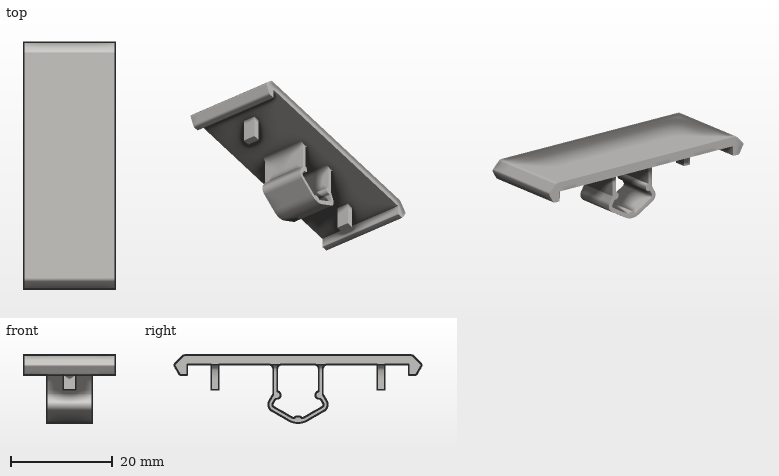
import cadquery as cq
import math


length = 48.5
width = 18.0
total_height = 13.38
plate_thickness = 1.9
hook_depth = 3.95
hook_inner_y = 21.7
hook_top_y = 22.47
hook_tip_radius = 0.5
hook_top_radius = 0.9
hook_foot_radius = 0.6
hook_lip_radius = 0.2
bevel_angle = math.radians(45)
flank_angle = math.radians(60)

pin_width = 2.5
pin_thickness = 1.5
pin_y = 16.3
pin_end_z = -6.85

clip_width = 9.0
wall = 0.85
leg_outer_y = 4.9
knee_z = -7.75
upper_slope = math.radians(60)
lower_slope = math.radians(30)
corner_outer_radius = 1.4
corner_inner_radius = 0.5
knee_radius = 0.3
nose_radius = 3.5
nose_sharp_z = -total_height - nose_radius * (1 / math.cos(lower_slope) - 1)
corner_y = (knee_z - nose_sharp_z + leg_outer_y * math.tan(upper_slope)) / (
    math.tan(upper_slope) + math.tan(lower_slope)
)
root_radius = 0.8

bead_radius = 0.75
bead_y = 4.15
bead_z = -7.87
bead_root_radius = 0.3
nose_bead_radius = 1.0
nose_bead_top_z = -12.02
nose_bead_root_radius = 0.1


def extrude_along_x(points, depth):
    """Extrude a closed (y, z) outline, centred on X = 0."""
    return cq.Workplane("YZ").polyline(points).close().extrude(depth / 2, both=True)


def rod_along_x(y, z, radius, depth):
    """Round bar parallel to X, centred on X = 0."""
    return cq.Workplane("YZ").center(y, z).circle(radius).extrude(depth / 2, both=True)


def mirrored(points):
    """Add the -Y half to an outline given from +Y."""
    return points + [(-y, z) for y, z in reversed(points) if y != 0]


def round_edges(body, corners, radius):
    """Fillet the X-parallel edges at the given (y, z) corners and their mirror images."""
    reach = 0.02
    for y, z in corners:
        for side in sorted({y, -y}):
            low = (-width, side - reach, z - reach)
            high = (width, side + reach, z + reach)
            body = body.edges("|X").edges(cq.selectors.BoxSelector(low, high)).fillet(radius)
    return body


def make_plate():
    upper_normal = math.pi / 2 - bevel_angle
    lower_normal = math.pi / 2 - flank_angle
    tip_z_run = math.tan(bevel_angle)
    tip_overshoot = hook_tip_radius * (
        math.cos((upper_normal - lower_normal) / 2) / math.cos((upper_normal + lower_normal) / 2) - 1
    )
    tip_y = length / 2 + tip_overshoot
    top = (hook_top_y, 0)
    tip = (tip_y, -(tip_y - hook_top_y) * tip_z_run)
    foot = (tip_y - (hook_depth + tip[1]) / math.tan(flank_angle), -hook_depth)
    lip = (hook_inner_y, -hook_depth)
    inner = (hook_inner_y, -plate_thickness)
    body = extrude_along_x(mirrored([top, tip, foot, lip, inner]), width)
    body = round_edges(body, [top], hook_top_radius)
    body = round_edges(body, [tip], hook_tip_radius)
    body = round_edges(body, [foot], hook_foot_radius)
    return round_edges(body, [lip], hook_lip_radius)


def clip_outline(inset):
    """Knee, flank corner and nose of the clip outline, moved inward by inset."""
    leg_y = leg_outer_y - inset
    knee = (leg_y, knee_z - inset * math.tan((math.pi / 2 - upper_slope) / 2))
    outer_corner_z = knee_z - (corner_y - leg_outer_y) * math.tan(upper_slope)
    corner = (
        corner_y - inset * (math.sin(upper_slope) + math.sin(lower_slope)),
        outer_corner_z + inset * (math.cos(lower_slope) - math.cos(upper_slope)),
    )
    nose = (0, corner[1] - corner[0] * math.tan(lower_slope))
    return knee, corner, nose


def make_clip_blank(inset):
    """Solid clip section with sharp corners."""
    knee, corner, nose = clip_outline(inset)
    root = (knee[0], -plate_thickness)
    return extrude_along_x(mirrored([root, knee, corner, nose]), clip_width)


def bead_root_point():
    """Point where the leg bead runs into the inner face of the flank below the knee."""
    knee = clip_outline(wall)[0]
    run_y = math.cos(upper_slope)
    run_z = -math.sin(upper_slope)
    offset_y = knee[0] - bead_y
    offset_z = knee[1] - bead_z
    along = offset_y * run_y + offset_z * run_z
    gap_squared = offset_y**2 + offset_z**2 - bead_radius**2
    distance = -along + math.sqrt(along**2 - gap_squared)
    return knee[0] + distance * run_y, knee[1] + distance * run_z


def nose_bead_root_point():
    """Point where the nose bead runs into the inner nose arc; both are centred on Y = 0."""
    arc_radius = nose_radius - wall
    arc_z = nose_radius - total_height
    center_gap = arc_z - (nose_bead_top_z - nose_bead_radius)
    drop = (arc_radius**2 - nose_bead_radius**2 + center_gap**2) / (2 * center_gap)
    return math.sqrt(arc_radius**2 - drop**2), arc_z - drop


def make_clip():
    knee, corner, nose = clip_outline(0)
    _, inner_corner, inner_nose = clip_outline(wall)

    envelope = make_clip_blank(0)
    envelope = round_edges(envelope, [corner], corner_outer_radius)
    envelope = round_edges(envelope, [knee], knee_radius)
    envelope = round_edges(envelope, [nose], nose_radius)

    cavity = round_edges(make_clip_blank(wall), [inner_corner], corner_inner_radius)
    cavity = round_edges(cavity, [inner_nose], nose_radius - wall)
    nose_bead = rod_along_x(0, nose_bead_top_z - nose_bead_radius, nose_bead_radius, clip_width)
    cavity = cavity.cut(nose_bead)
    for side in (-1, 1):
        cavity = cavity.cut(rod_along_x(side * bead_y, bead_z, bead_radius, clip_width))
    cavity = round_edges(cavity, [bead_root_point()], bead_root_radius)
    cavity = round_edges(cavity, [nose_bead_root_point()], nose_bead_root_radius)
    return envelope.cut(cavity)


def make_pins():
    pin_length = -plate_thickness - pin_end_z
    return (
        cq.Workplane("XY", origin=(0, 0, pin_end_z))
        .pushPoints([(0, pin_y), (0, -pin_y)])
        .rect(pin_width, pin_thickness)
        .extrude(pin_length)
    )


leg_roots = [(leg_outer_y, -plate_thickness), (leg_outer_y - wall, -plate_thickness)]
result = make_plate().union(make_clip())
result = round_edges(result, leg_roots, root_radius)
result = result.union(make_pins())